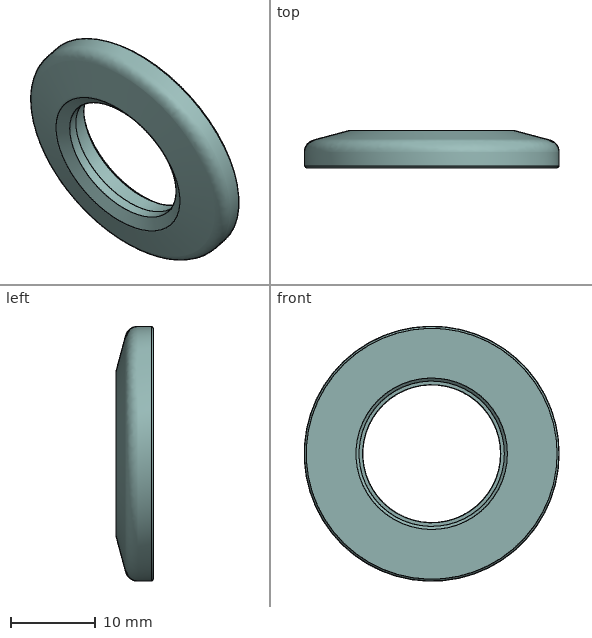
import cadquery as cq
import math

outer_radius = 15.0
thickness = 4.45
front_y = -thickness / 2
back_y = thickness / 2

back_flat_radius = 9.65
cone_angle = math.radians(15)
rim_fillet = 1.5

bore_radius = 8.1
counterbore_radius = 8.55
counterbore_depth = 2.4

rim_chamfer = 0.25
counterbore_chamfer = 0.35

countersink_radius = 9.45
countersink_depth = 0.9

cone_rim_y = back_y - (outer_radius - back_flat_radius) * math.tan(cone_angle)
blank = (
    cq.Workplane("XY")
    .moveTo(0, front_y)
    .lineTo(outer_radius, front_y)
    .lineTo(outer_radius, cone_rim_y)
    .lineTo(back_flat_radius, back_y)
    .lineTo(0, back_y)
    .close()
    .revolve(360, (0, 0, 0), (0, 1, 0))
)
blank = blank.faces("%CYLINDER").edges(">Y").fillet(rim_fillet)
blank = blank.faces("<Y").edges().chamfer(rim_chamfer)

counterbore_floor_y = front_y + counterbore_depth
bore = (
    cq.Workplane("XY")
    .moveTo(0, front_y)
    .lineTo(counterbore_radius + counterbore_chamfer, front_y)
    .lineTo(counterbore_radius, front_y + counterbore_chamfer)
    .lineTo(counterbore_radius, counterbore_floor_y)
    .lineTo(bore_radius, counterbore_floor_y)
    .lineTo(bore_radius, back_y - countersink_depth)
    .lineTo(countersink_radius, back_y)
    .lineTo(0, back_y)
    .close()
    .revolve(360, (0, 0, 0), (0, 1, 0))
)

result = blank.cut(bore)